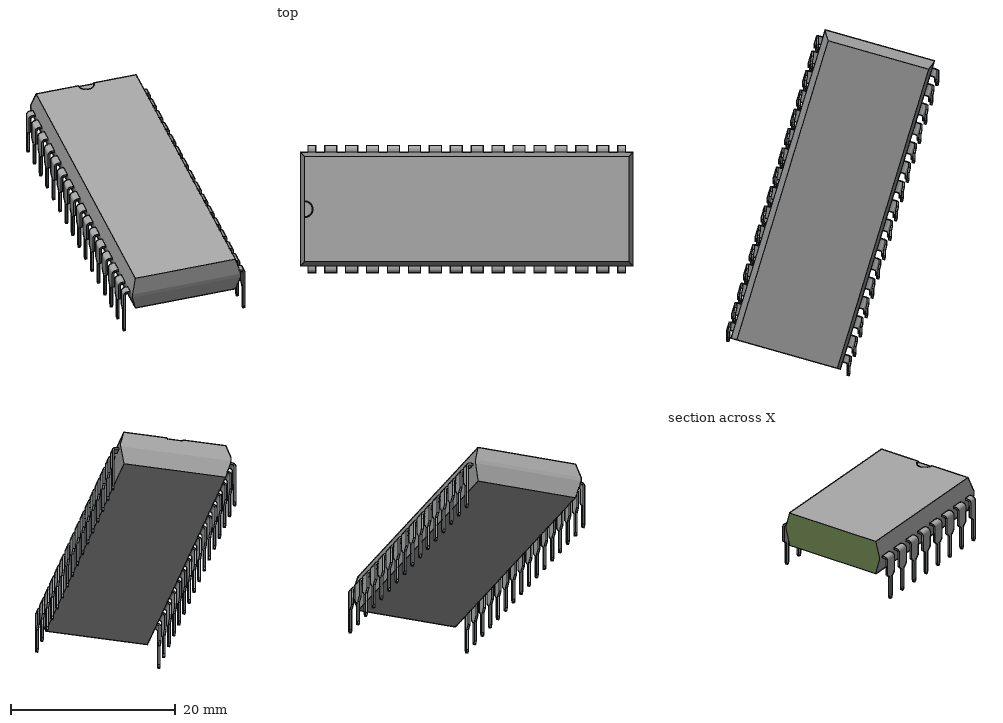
import cadquery as cq
import math

body_length = 40.4
body_width = 13.8
band_height = 0.5
upper_height = 1.98
lower_height = 2.05
draft_angle = 15.0

notch_radius = 1.0
notch_depth = 0.15
notch_wall_angle = 30.0

leads_per_row = 16
row_length = 38.1
lead_overall_width = 15.47
overall_height = 8.0
lead_thickness = 0.25
shoulder_width = 1.5
pin_width = 0.5
bend_radius = 0.5
taper_height = 0.5
tip_height = 0.32
tip_inset = 0.12
lead_embed = 0.8

band_top = band_height / 2
band_bottom = -band_height / 2
body_top = band_top + upper_height
body_bottom = band_bottom - lower_height
upper_inset = upper_height * math.tan(math.radians(draft_angle))
lead_bottom = body_top - overall_height
lead_top = lead_thickness / 2
lead_pitch = row_length / (leads_per_row - 1)


def make_body():
    band = cq.Workplane("XY").box(body_length, body_width, band_height)
    upper = (
        cq.Workplane("XY", origin=(0, 0, band_top))
        .rect(body_length, body_width)
        .extrude(upper_height, taper=draft_angle)
    )
    lower = (
        cq.Workplane("XY", origin=(0, 0, band_bottom))
        .rect(body_length, body_width)
        .extrude(-lower_height, taper=draft_angle)
    )
    return band.union(upper).union(lower)


def make_notch():
    top_edge_x = -body_length / 2 + upper_inset
    return (
        cq.Workplane("XY", origin=(top_edge_x, 0, body_top))
        .circle(notch_radius)
        .extrude(-notch_depth, taper=notch_wall_angle)
    )


def make_bent_strip():
    """Bent sheet of the -Y row, as long as the body, before it is cut into leads."""
    outer_y = -lead_overall_width / 2
    inner_y = outer_y + lead_thickness
    bend_y = outer_y + bend_radius
    bend_z = lead_top - bend_radius
    root_y = -body_width / 2 + lead_embed
    inner_radius = bend_radius - lead_thickness
    diagonal = math.sqrt(0.5)
    return (
        cq.Workplane("YZ")
        .moveTo(outer_y, lead_bottom)
        .lineTo(outer_y, bend_z)
        .threePointArc(
            (bend_y - bend_radius * diagonal, bend_z + bend_radius * diagonal),
            (bend_y, lead_top),
        )
        .lineTo(root_y, lead_top)
        .lineTo(root_y, lead_top - lead_thickness)
        .lineTo(bend_y, lead_top - lead_thickness)
        .threePointArc(
            (bend_y - inner_radius * diagonal, bend_z + inner_radius * diagonal),
            (inner_y, bend_z),
        )
        .lineTo(inner_y, lead_bottom)
        .close()
        .extrude(body_length / 2, both=True)
    )


def make_lead_outline(x, left_shoulder, right_shoulder):
    """Lead silhouette swept along Y; a side without a shoulder stays at pin width."""
    half_pin = pin_width / 2
    left = x - (shoulder_width / 2 if left_shoulder else half_pin)
    right = x + (shoulder_width / 2 if right_shoulder else half_pin)
    taper_bottom = body_bottom - taper_height
    tip_start = lead_bottom + tip_height
    points = [
        (left, lead_top),
        (left, body_bottom),
        (x - half_pin, taper_bottom),
        (x - half_pin, tip_start),
        (x - half_pin + tip_inset, lead_bottom),
        (x + half_pin - tip_inset, lead_bottom),
        (x + half_pin, tip_start),
        (x + half_pin, taper_bottom),
        (right, body_bottom),
        (right, lead_top),
    ]
    return (
        cq.Workplane("XZ")
        .polyline(points)
        .close()
        .extrude(lead_overall_width / 2)
    )


def make_lead_row():
    outlines = cq.Workplane("XY")
    for index in range(leads_per_row):
        x = index * lead_pitch - row_length / 2
        has_left = index > 0
        has_right = index < leads_per_row - 1
        outlines = outlines.add(make_lead_outline(x, has_left, has_right))
    return make_bent_strip().intersect(outlines.combine())


front_row = make_lead_row()
back_row = front_row.mirror("XZ")
result = make_body().cut(make_notch()).union(front_row).union(back_row)